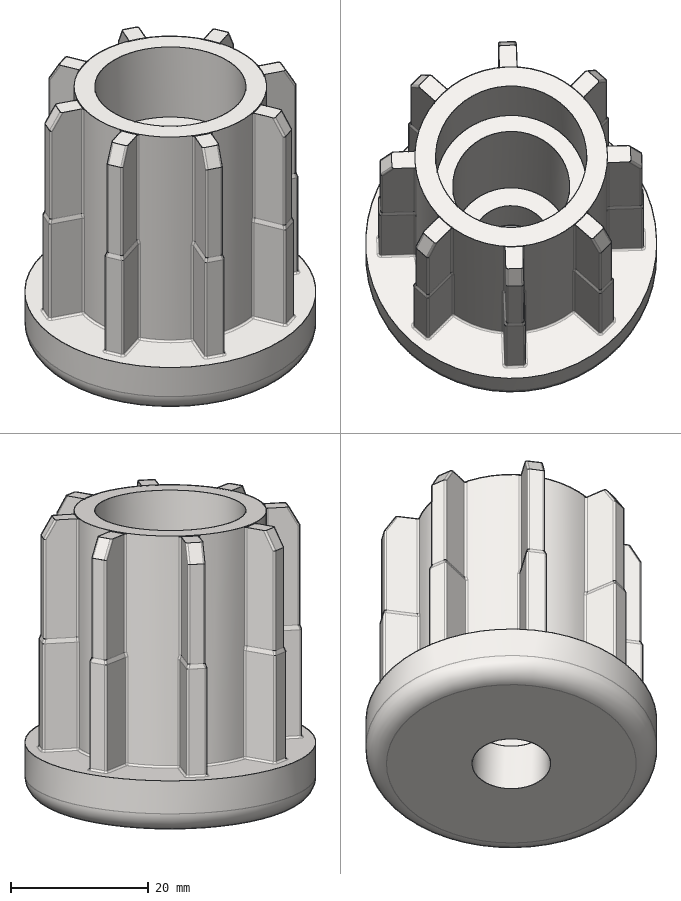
import cadquery as cq
import math

TOTAL_HEIGHT = 43.0
EDGE_RADIUS = 0.3

FLANGE_RADIUS = 21.2
FLANGE_HEIGHT = 8.0
FLANGE_FILLET = 3.0

TUBE_RADIUS = 14.0
BORE_RADIUS = 11.0
BORE_DEPTH = 12.0
RECESS_RADIUS = 8.5
RECESS_FLOOR = FLANGE_HEIGHT
HOLE_RADIUS = 5.7

RIB_COUNT = 8
RIB_STEP = 0.2
RIB_LOWER_REACH = 19.25
RIB_LOWER_WIDTH = 3.0
RIB_UPPER_REACH = RIB_LOWER_REACH - RIB_STEP
RIB_UPPER_WIDTH = RIB_LOWER_WIDTH - 2 * RIB_STEP
RIB_ROOT = (BORE_RADIUS + TUBE_RADIUS) / 2
TAPER_START = 24.3
TAPER_END = 25.0
RIB_TOP_GAP = 0.15
RIB_TOP = TOTAL_HEIGHT - RIB_TOP_GAP
TIP_START = 40.05
TIP_ANGLE = 30.0

ROOT_TOLERANCE = 0.05
FLAT_TOLERANCE = 0.005
PICK_MARGIN = 0.45


def make_flange():
    disc = cq.Workplane("XY").circle(FLANGE_RADIUS).extrude(FLANGE_HEIGHT)
    return disc.faces("<Z").edges().fillet(FLANGE_FILLET)


def make_tube():
    return cq.Workplane("XY").circle(TUBE_RADIUS).extrude(TOTAL_HEIGHT)


def rib_section(height, reach, width):
    """Rectangle across one rib, lying along +X at the given height."""
    length = reach - RIB_ROOT
    return (
        cq.Workplane("XY", origin=(RIB_ROOT + length / 2, 0, height))
        .rect(length, width)
    )


def make_rib():
    lower_foot = rib_section(FLANGE_HEIGHT, RIB_LOWER_REACH, RIB_LOWER_WIDTH)
    lower = lower_foot.extrude(TAPER_START - FLANGE_HEIGHT)

    taper_bottom = rib_section(TAPER_START, RIB_LOWER_REACH, RIB_LOWER_WIDTH)
    taper_top = rib_section(TAPER_END, RIB_UPPER_REACH, RIB_UPPER_WIDTH)
    taper_wires = [taper_bottom.wires().val(), taper_top.wires().val()]
    taper = cq.Workplane(cq.Solid.makeLoft(taper_wires, True))

    upper = taper_top.extrude(RIB_TOP - TAPER_END)
    tip_rise = RIB_TOP - TIP_START
    tip_run = tip_rise * math.tan(math.radians(TIP_ANGLE))
    upper = upper.faces(">Z").edges(">X").chamfer(tip_rise, tip_run)

    rib = lower.union(taper).union(upper)
    free_end = cq.selectors.BoxSelector(
        (RIB_UPPER_REACH - tip_run - PICK_MARGIN, -RIB_LOWER_WIDTH, 0),
        (RIB_LOWER_REACH + PICK_MARGIN, RIB_LOWER_WIDTH, TOTAL_HEIGHT),
    )
    return rib.edges(free_end).edges("not #Z").fillet(EDGE_RADIUS)


def round_rib_roots(solid):
    """Fillet where the ribs meet the tube and where ribs and tube meet the flange."""
    def joins_rib_to_tube(edge):
        center = edge.Center()
        on_tube = abs(math.hypot(center.x, center.y) - TUBE_RADIUS) < ROOT_TOLERANCE
        return on_tube and FLANGE_HEIGHT < center.z < RIB_TOP - ROOT_TOLERANCE

    def joins_flange(edge):
        box = edge.BoundingBox()
        on_flange_top = abs(edge.Center().z - FLANGE_HEIGHT) < FLAT_TOLERANCE and box.zlen < FLAT_TOLERANCE
        is_flange_rim = box.xlen > FLANGE_RADIUS
        return on_flange_top and not is_flange_rim

    roots = solid.edges().filter(lambda edge: joins_rib_to_tube(edge) or joins_flange(edge))
    return roots.fillet(EDGE_RADIUS)


def cut_bore(solid):
    """Bore from the top, a smaller recess down to the flange, then the through hole."""
    bore_steps = [
        (HOLE_RADIUS, 0),
        (RECESS_RADIUS, RECESS_FLOOR),
        (BORE_RADIUS, TOTAL_HEIGHT - BORE_DEPTH),
    ]
    for radius, floor in bore_steps:
        cutter = cq.Workplane("XY", origin=(0, 0, floor)).circle(radius).extrude(TOTAL_HEIGHT - floor)
        solid = solid.cut(cutter)
    return solid


body = make_flange().union(make_tube())
rib = make_rib()
for index in range(RIB_COUNT):
    body = body.union(rib.rotate((0, 0, 0), (0, 0, 1), index * 360 / RIB_COUNT))
body = round_rib_roots(body)
result = cut_bore(body)